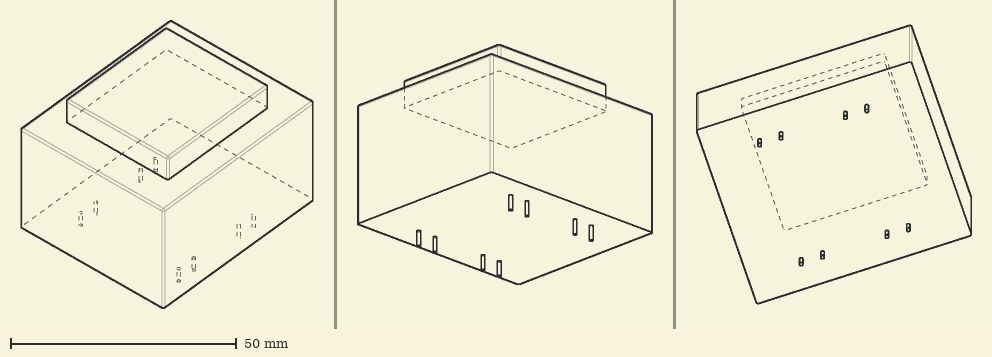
import cadquery as cq

body_width = 42.4
body_length = 50.2
body_height = 28.5

cap_width = 30.2
cap_length = 33.5
cap_height = 6.5

edge_radius = 0.5

pin_diameter = 0.8
pin_length = 3.5
row_spacing = 29.0
inner_pin_spacing = 15.0
outer_pin_spacing = 25.0


def rounded_block(width, length, height, base_z):
    """Centred block with every edge rounded except those of its bottom face."""
    block = cq.Workplane("XY").workplane(offset=base_z)
    block = block.rect(width, length).extrude(height)
    return block.edges("|Z or >Z").fillet(edge_radius)


def terminal_pins():
    """Mirror-symmetric rows of round pins hanging below the body."""
    pin_centres = [
        (side * row_spacing / 2, end * spacing / 2)
        for side in (-1, 1)
        for end in (-1, 1)
        for spacing in (inner_pin_spacing, outer_pin_spacing)
    ]
    return cq.Workplane("XY").pushPoints(pin_centres).circle(pin_diameter / 2).extrude(-pin_length)


body = rounded_block(body_width, body_length, body_height, 0)
cap = rounded_block(cap_width, cap_length, cap_height, body_height)

result = body.union(cap).union(terminal_pins())